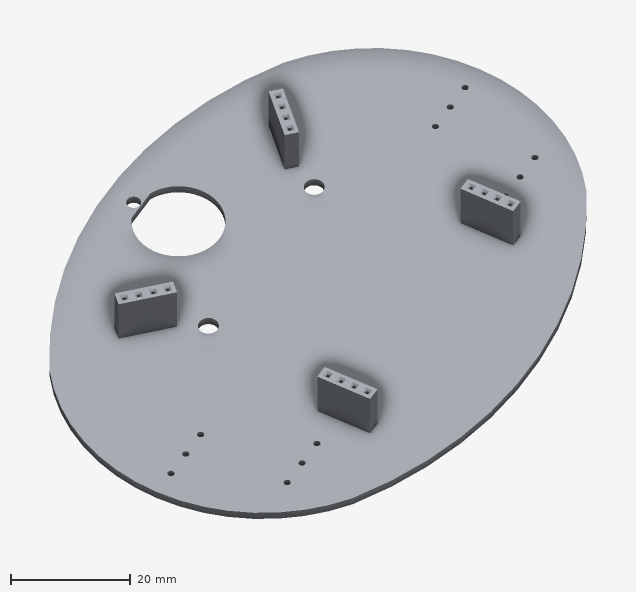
import cadquery as cq
import math


pin_pitch = 2.5

plate_length = 109.6
plate_width = 81.4
plate_thickness = 1.5
corner_x = 29.3
corner_y = 39.8

opening_diameter = 15.8
opening_x = -27.0
opening_flat_x = -34.2

locating_hole_diameter = 2.5
locating_hole_x = -35.6
mounting_hole_diameter = 3.5
mounting_hole_x = -11.0
mounting_hole_y = 18.0

wire_pitch = 2 * pin_pitch
wire_diameter = 1.2
center_wire_first_y = 39.9
side_wire_x = 18.0
side_wire_first_y = 32.0
wires_per_row = 3

header_length = 10.2
header_width = 2.5
header_height = 8.7
pin_count = 4
mouth_size = 1.2
bore_size = 0.5
mouth_depth = 0.3
bore_depth = 4.4
pin_length = 0.5
pin_width = 0.3
tip_length = 0.27
tip_height = 0.7
pin_drop = 1.4

straight_header_x = 19.5
straight_header_y = 24.3
slanted_header_x = -19.9
slanted_header_y = 23.5
slant_angle = 45

header_places = []
for side in (1, -1):
    header_places.append((straight_header_x, side * straight_header_y, 0))
    header_places.append((slanted_header_x, side * slanted_header_y, -side * slant_angle))

pin_offsets = [(i - (pin_count - 1) / 2) * pin_pitch for i in range(pin_count)]


def place(shape, spot):
    """Turn a shape about Z and move it to its header position."""
    x, y, angle = spot
    return shape.rotate((0, 0, 0), (0, 0, 1), angle).translate((x, y, 0))


def posts(length, width, bottom, top):
    """One rectangular post per pin, in a row along the X axis."""
    return (
        cq.Workplane("XY", origin=(0, 0, bottom))
        .pushPoints([(x, 0) for x in pin_offsets])
        .rect(length, width)
        .extrude(top - bottom)
    )


def make_pin():
    """Flat pin running down through the plate, its two narrow sides bevelled to the tip."""
    tip_z = -plate_thickness - pin_drop
    return (
        cq.Workplane("XZ")
        .moveTo(-pin_length / 2, 0)
        .lineTo(pin_length / 2, 0)
        .lineTo(pin_length / 2, tip_z + tip_height)
        .lineTo(tip_length / 2, tip_z)
        .lineTo(-tip_length / 2, tip_z)
        .lineTo(-pin_length / 2, tip_z + tip_height)
        .close()
        .extrude(pin_width / 2, both=True)
    )


def make_header():
    """Socket housing standing on the plate, with its bevelled pins."""
    housing = cq.Workplane("XY").box(
        header_length, header_width, header_height, centered=(True, True, False)
    )
    bores = posts(bore_size, bore_size, header_height - bore_depth, header_height)
    housing = housing.cut(bores)
    for x in pin_offsets:
        mouth = (
            cq.Workplane("XY", origin=(x, 0, header_height))
            .rect(mouth_size, mouth_size)
            .workplane(offset=-mouth_depth)
            .rect(bore_size, bore_size)
            .loft()
        )
        housing = housing.cut(mouth)
    for x in pin_offsets:
        housing = housing.union(make_pin().translate((x, 0, 0)))
    return housing


def drill(plate, diameter, points):
    """Cut round through holes at the given points."""
    holes = (
        cq.Workplane("XY", origin=(0, 0, -plate_thickness))
        .pushPoints(points)
        .circle(diameter / 2)
        .extrude(plate_thickness)
    )
    return plate.cut(holes)


def wire_points(x, first_y):
    """A row of wire holes running outward along Y, and its mirror image."""
    return [(x, side * (first_y + i * wire_pitch)) for side in (1, -1) for i in range(wires_per_row)]


def make_plate():
    """Oval plate of four arcs, its top face at Z = 0, with all of its openings."""
    half_length = plate_length / 2
    half_width = plate_width / 2
    plate = (
        cq.Workplane("XY", origin=(0, 0, -plate_thickness))
        .moveTo(corner_x, -corner_y)
        .threePointArc((half_width, 0), (corner_x, corner_y))
        .threePointArc((0, half_length), (-corner_x, corner_y))
        .threePointArc((-half_width, 0), (-corner_x, -corner_y))
        .threePointArc((0, -half_length), (corner_x, -corner_y))
        .close()
        .extrude(plate_thickness)
    )

    radius = opening_diameter / 2
    flat_half = math.sqrt(radius**2 - (opening_flat_x - opening_x) ** 2)
    opening = (
        cq.Workplane("XY", origin=(0, 0, -plate_thickness))
        .moveTo(opening_flat_x, -flat_half)
        .threePointArc((opening_x + radius, 0), (opening_flat_x, flat_half))
        .close()
        .extrude(plate_thickness)
    )
    plate = plate.cut(opening)

    plate = drill(plate, locating_hole_diameter, [(locating_hole_x, 0)])
    plate = drill(
        plate,
        mounting_hole_diameter,
        [(mounting_hole_x, mounting_hole_y), (mounting_hole_x, -mounting_hole_y)],
    )
    plate = drill(plate, wire_diameter, wire_points(0, center_wire_first_y))
    plate = drill(plate, wire_diameter, wire_points(side_wire_x, side_wire_first_y))

    pin_holes = posts(pin_length, pin_width, -plate_thickness, 0)
    for spot in header_places:
        plate = plate.cut(place(pin_holes, spot))
    return plate


plate = make_plate()
header = make_header()
headers = [place(header, spot) for spot in header_places]

result = cq.Compound.makeCompound([plate.val(), *[copy.val() for copy in headers]])